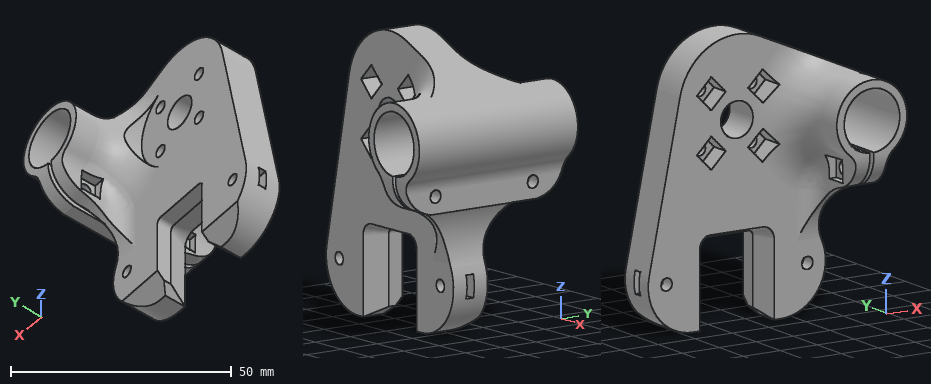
import cadquery as cq
import math


PLATE_T = 9.7
TOWER_R = 15.7
TOWER_Z = 4.2
LOBE_R = 12.1
LOBE_X = 11.9
LOBE_Z = -35.95

TUBE_X = 25.0
TUBE_R = 9.5
TUBE_BORE_D = 15.0
TUBE_L = 45.0
TUBE_FILLET_R = 11.0

EAR_HALF_W = 4.1
EAR_BOTTOM_Z = -16.6
EAR_NOSE_R = 8.4
EAR_FILLET_R = 4.9
CLAMP_GAP = 1.1
WEB_END_Z = -30.5

NECK_R = 14.95
NECK_X = 21.75

MOTOR_BORE_D = 8.7
MOTOR_HOLE_D = 3.2
MOTOR_HOLE_OFFSET = 6.9
MOTOR_CLEARANCE_R = 13.7
NUT_W = 5.5
MOTOR_NUT_DEPTH = PLATE_T / 2

LOBE_HOLE_D = 3.0
LOBE_HOLE_X = 19.0
LOBE_NUT_T = 2.05
EAR_HOLE_D = 3.0
EAR_HOLE_Y = 13.8
EAR_HOLE_Z = -12.5
EAR_NUT_DEPTH = 1.9

SLOT_HALF_W = 8.0
SLOT_TOP_Z = -28.0
SLOT_CORNER_R = 1.15
SLOT_FLARE = 2.05
SLOT_TAPER_DEPTH = 5.8
REAR_CHAMFER = 3.95

FRONT_Y = -PLATE_T / 2
REAR_Y = PLATE_T / 2
BOTTOM_Z = LOBE_Z - LOBE_R
REACH = 67.95
TOLERANCE = 0.015

TOWER = (0, TOWER_Z)
LEFT_LOBE = (-LOBE_X, LOBE_Z)
RIGHT_LOBE = (LOBE_X, LOBE_Z)
TUBE = (TUBE_X, 0)
EAR_LEFT = TUBE_X - EAR_HALF_W
EAR_RIGHT = TUBE_X + EAR_HALF_W


def polar(center, radius, degrees):
    """Point at an angle on a circle in the XZ plane."""
    angle = math.radians(degrees)
    return (center[0] + radius * math.cos(angle), center[1] + radius * math.sin(angle))


def direction(start, end):
    """Angle in degrees from one point to another."""
    return math.degrees(math.atan2(end[1] - start[1], end[0] - start[0]))


def cylinder_y(center, radius, y_start, y_end):
    """Round bar along Y about an XZ centre point."""
    base = cq.Workplane("XZ", origin=(0, y_start, 0))
    return base.center(*center).circle(radius).extrude(y_start - y_end)


def box(x_range, y_range, z_range):
    sizes = [r[1] - r[0] for r in (x_range, y_range, z_range)]
    start = (x_range[0], y_range[0], z_range[0])
    return cq.Workplane("XY").box(*sizes, centered=False).translate(start)


def neck_center():
    """Centre of the neck arc, which touches the right lobe from outside."""
    dx = NECK_X + NECK_R - LOBE_X
    dz = math.sqrt((LOBE_R + NECK_R) ** 2 - dx ** 2)
    return (LOBE_X + dx, LOBE_Z + dz)


def outline_prism(thickness):
    """Plate outline, running round the tube and the ears, extruded about Y = 0."""
    left_spread = math.acos((LOBE_R - TOWER_R) / math.dist(TOWER, LEFT_LOBE))
    left_angle = direction(LEFT_LOBE, TOWER) + math.degrees(left_spread)
    top_spread = math.acos((TOWER_R - TUBE_R) / math.dist(TOWER, TUBE))
    top_angle = direction(TOWER, TUBE) + math.degrees(top_spread)

    neck = neck_center()
    neck_angle = direction(RIGHT_LOBE, neck)
    neck_top_x = neck[0] - math.sqrt(NECK_R ** 2 - (EAR_BOTTOM_Z - neck[1]) ** 2)
    ear_top_z = -math.sqrt(TUBE_R ** 2 - EAR_HALF_W ** 2)

    return (
        cq.Workplane("XZ")
        .moveTo(*polar(LEFT_LOBE, LOBE_R, left_angle))
        .lineTo(*polar(TOWER, TOWER_R, left_angle))
        .threePointArc(polar(TOWER, TOWER_R, (left_angle + top_angle) / 2), polar(TOWER, TOWER_R, top_angle))
        .lineTo(*polar(TUBE, TUBE_R, top_angle))
        .threePointArc((TUBE_X + TUBE_R, 0), (EAR_RIGHT, ear_top_z))
        .lineTo(EAR_RIGHT, EAR_BOTTOM_Z)
        .lineTo(neck_top_x, EAR_BOTTOM_Z)
        .threePointArc((NECK_X, neck[1]), polar(RIGHT_LOBE, LOBE_R, neck_angle))
        .threePointArc(polar(RIGHT_LOBE, LOBE_R, (neck_angle - 90) / 2), (LOBE_X, BOTTOM_Z))
        .lineTo(-LOBE_X, BOTTOM_Z)
        .threePointArc(
            polar(LEFT_LOBE, LOBE_R, (left_angle + 270) / 2), polar(LEFT_LOBE, LOBE_R, left_angle)
        )
        .close()
        .extrude(thickness / 2, both=True)
    )


def flare_space():
    """Space behind the plate, round the flared foot of the tube and clear of the ears and webs."""
    flare_y = REAR_Y + TUBE_FILLET_R
    arc_inset = TUBE_FILLET_R * (1 - math.sqrt(0.5))
    space = (
        cq.Workplane("XY")
        .moveTo(REACH, REAR_Y)
        .lineTo(TUBE_R + TUBE_FILLET_R, REAR_Y)
        .threePointArc((TUBE_R + arc_inset, REAR_Y + arc_inset), (TUBE_R, flare_y))
        .lineTo(TUBE_R, TUBE_L / 2 + 0.7)
        .lineTo(REACH, TUBE_L / 2 + 0.7)
        .close()
        .revolve(360, (0, 0, 0), (0, 1, 0))
    )
    ears = box((EAR_LEFT, EAR_RIGHT), (0, TUBE_L), (WEB_END_Z, 0))
    return space.translate((TUBE_X, 0, 0)).cut(ears)


def is_ear_root(edge):
    """True for the inside edges where an ear side meets the tube, its flare or the plate."""
    bounds = edge.BoundingBox()
    flat = bounds.xlen < TOLERANCE
    on_left = abs(edge.Center().x - EAR_LEFT) < TOLERANCE
    on_right = abs(edge.Center().x - EAR_RIGHT) < TOLERANCE
    off_tips = abs(edge.Center().y) < TUBE_L / 2 - TOLERANCE
    above_end = bounds.zmax > WEB_END_Z + TOLERANCE
    off_plate = abs(edge.Center().y) > REAR_Y - TOLERANCE
    at_tube = bounds.zmin > EAR_BOTTOM_Z
    left_root = on_left and above_end and off_plate
    right_root = on_right and at_tube
    return flat and off_tips and (left_root or right_root)


def round_ear_roots(body):
    roots = [edge for edge in body.edges().vals() if is_ear_root(edge)]
    return body.newObject(roots).fillet(EAR_FILLET_R)


def below_ears():
    """Space under the rounded ear noses and the webs, on both sides of the plate."""
    tip_y = TUBE_L / 2
    nose = (tip_y - EAR_NOSE_R, EAR_BOTTOM_Z + EAR_NOSE_R)
    nose_dy = nose[0] - REAR_Y
    nose_dz = nose[1] - WEB_END_Z
    web_r = (nose_dy ** 2 + nose_dz ** 2 - EAR_NOSE_R ** 2) / (2 * (nose_dy + EAR_NOSE_R))
    web = (REAR_Y + web_r, WEB_END_Z)
    joint_angle = direction(nose, web)
    side = (
        cq.Workplane("YZ")
        .moveTo(tip_y, nose[1])
        .threePointArc(polar(nose, EAR_NOSE_R, joint_angle / 2), polar(nose, EAR_NOSE_R, joint_angle))
        .threePointArc(polar(web, web_r, (joint_angle + 360) / 2), (REAR_Y, WEB_END_Z))
        .lineTo(REAR_Y, WEB_END_Z - 0.7)
        .lineTo(tip_y + 0.7, WEB_END_Z - 0.7)
        .lineTo(tip_y + 0.7, nose[1])
        .close()
        .extrude(REACH)
    )
    return side.union(side.mirror("XZ"))


def tapered_slot():
    """Front part of the slot, narrowing away from the front face."""
    half_w = SLOT_HALF_W + SLOT_FLARE
    top_z = SLOT_TOP_Z + SLOT_FLARE
    corner_r = SLOT_CORNER_R + SLOT_FLARE
    open_z = BOTTOM_Z - 2 * SLOT_FLARE
    taper = math.degrees(math.atan(SLOT_FLARE / SLOT_TAPER_DEPTH))
    left_corner = (corner_r - half_w, top_z - corner_r)
    right_corner = (half_w - corner_r, top_z - corner_r)
    return (
        cq.Workplane("XZ", origin=(0, FRONT_Y, 0))
        .moveTo(-half_w, open_z)
        .lineTo(-half_w, left_corner[1])
        .threePointArc(polar(left_corner, corner_r, 135), (left_corner[0], top_z))
        .lineTo(right_corner[0], top_z)
        .threePointArc(polar(right_corner, corner_r, 45), (half_w, right_corner[1]))
        .lineTo(half_w, open_z)
        .close()
        .extrude(-SLOT_TAPER_DEPTH, taper=taper)
    )


def straight_slot():
    """Slot through the whole plate, with a mouth that opens out at the bottom."""
    slot_x = (-SLOT_HALF_W, SLOT_HALF_W)
    slot = box(slot_x, (FRONT_Y, REAR_Y), (BOTTOM_Z, SLOT_TOP_Z)).edges("|Y and >Z").fillet(SLOT_CORNER_R)
    mouth_half_w = SLOT_HALF_W + SLOT_FLARE
    mouth = (
        cq.Workplane("XZ", origin=(0, FRONT_Y, 0))
        .moveTo(-mouth_half_w, BOTTOM_Z)
        .lineTo(-SLOT_HALF_W, BOTTOM_Z + SLOT_FLARE)
        .lineTo(SLOT_HALF_W, BOTTOM_Z + SLOT_FLARE)
        .lineTo(mouth_half_w, BOTTOM_Z)
        .close()
        .extrude(-PLATE_T)
    )
    return slot.union(mouth)


def rear_chamfer():
    """Wedge off the bottom rear edge of both lobes."""
    return (
        cq.Workplane("YZ", origin=(-REACH, 0, 0))
        .moveTo(REAR_Y, BOTTOM_Z + REAR_CHAMFER)
        .lineTo(REAR_Y, BOTTOM_Z)
        .lineTo(REAR_Y - REAR_CHAMFER, BOTTOM_Z)
        .close()
        .extrude(2 * REACH)
    )


def motor_screw(x, z):
    """Screw hole through the plate with a square nut trap, set on edge, in the front."""
    trap_floor_y = FRONT_Y + MOTOR_NUT_DEPTH
    trap = box((-NUT_W / 2, NUT_W / 2), (-TUBE_L / 2, trap_floor_y), (-NUT_W / 2, NUT_W / 2))
    trap = trap.rotate((0, 0, 0), (0, 1, 0), 45).translate((x, 0, z))
    return trap.union(cylinder_y((x, z), MOTOR_HOLE_D / 2, FRONT_Y, REAR_Y))


def lobe_screw(side):
    """Screw hole through a lobe with a nut slot open to the outer side (side is -1 or 1)."""
    trap_x = sorted((side * REACH, side * (LOBE_HOLE_X - NUT_W / 2)))
    trap_z = (LOBE_Z - NUT_W / 2, LOBE_Z + NUT_W / 2)
    trap = box(trap_x, (-LOBE_NUT_T / 2, LOBE_NUT_T / 2), trap_z)
    return trap.union(cylinder_y((side * LOBE_HOLE_X, LOBE_Z), LOBE_HOLE_D / 2, FRONT_Y, REAR_Y))


def ear_screw(y):
    """Clamp screw hole across both ears with a nut trap in the left one."""
    trap_y = (y - NUT_W / 2, y + NUT_W / 2)
    trap_z = (EAR_HOLE_Z - NUT_W / 2, EAR_HOLE_Z + NUT_W / 2)
    trap = box((0, EAR_LEFT + EAR_NUT_DEPTH), trap_y, trap_z)
    hole = cq.Workplane("YZ").center(y, EAR_HOLE_Z).circle(EAR_HOLE_D / 2).extrude(REACH)
    return trap.union(hole)


flare_gap = flare_space()
body = outline_prism(TUBE_L).cut(flare_gap).cut(flare_gap.mirror("XZ"))
body = round_ear_roots(body).cut(below_ears())

body = body.cut(cylinder_y(TUBE, TUBE_BORE_D / 2, -TUBE_L / 2, TUBE_L / 2))
gap_x = (TUBE_X - CLAMP_GAP / 2, TUBE_X + CLAMP_GAP / 2)
body = body.cut(box(gap_x, (-TUBE_L / 2, TUBE_L / 2), (EAR_BOTTOM_Z, 0)))

body = body.cut(tapered_slot()).cut(straight_slot()).cut(rear_chamfer())

body = body.cut(cylinder_y((0, 0), MOTOR_BORE_D / 2, FRONT_Y, REAR_Y))
body = body.cut(cylinder_y((0, 0), MOTOR_CLEARANCE_R, REAR_Y, TUBE_L / 2))
for x_side in (-1, 1):
    for z_side in (-1, 1):
        body = body.cut(motor_screw(x_side * MOTOR_HOLE_OFFSET, z_side * MOTOR_HOLE_OFFSET))

for side in (-1, 1):
    body = body.cut(lobe_screw(side)).cut(ear_screw(side * EAR_HOLE_Y))

result = body